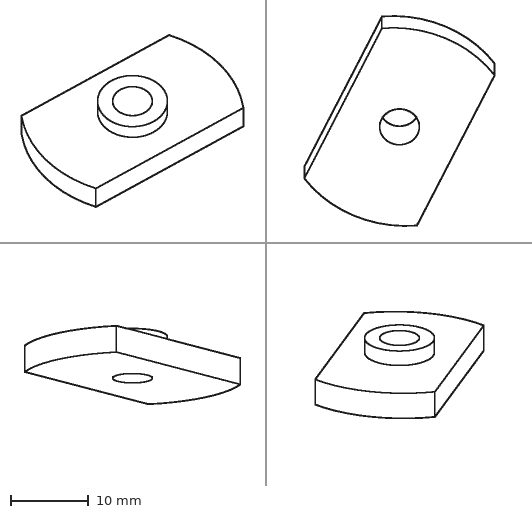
import cadquery as cq
import math

plate_width = 16.0
plate_length = 28.0
plate_thickness = 3.5
end_radius = 16.0

boss_diameter = 9.0
boss_height = 2.0
hole_diameter = 5.1

half_width = plate_width / 2
half_length = plate_length / 2
end_rise = end_radius - math.sqrt(end_radius**2 - half_width**2)
corner_y = half_length - end_rise
total_height = plate_thickness + boss_height


def make_plate():
    """Flat plate centred on the Z axis, resting on Z = 0."""
    return (
        cq.Workplane("XY")
        .moveTo(-half_width, -corner_y)
        .threePointArc((0, -half_length), (half_width, -corner_y))
        .lineTo(half_width, corner_y)
        .threePointArc((0, half_length), (-half_width, corner_y))
        .close()
        .extrude(plate_thickness)
    )


def make_cylinder(diameter):
    """Cylinder on the Z axis spanning the full height of the part."""
    return cq.Workplane("XY").circle(diameter / 2).extrude(total_height)


boss = make_cylinder(boss_diameter)
hole = make_cylinder(hole_diameter)

result = make_plate().union(boss).cut(hole)